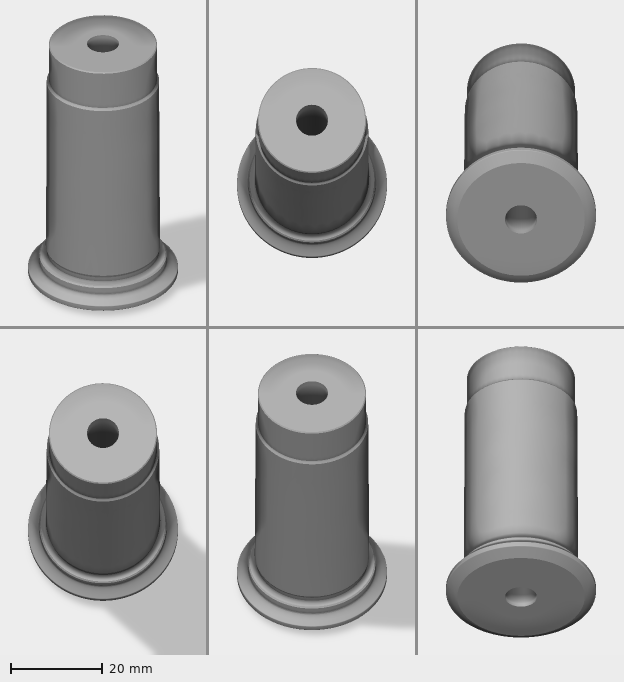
import cadquery as cq
import math

total_height = 60.5
rim_top = 2.6
collar_top = 6.05
groove_top = 7.5
body_bottom = 8.05
body_top = 50.8
neck_bottom = 51.35

bore_diameter = 7.0
neck_diameter = 23.8
body_top_diameter = 24.75
body_bottom_diameter = 25.15
groove_diameter = 24.7
collar_diameter = 28.0
rim_diameter = 33.0
base_diameter = collar_diameter

neck_chamfer = 0.25
collar_chamfer = 0.3
groove_arc_radius = 0.9
groove_top_fillet = 0.3
collar_foot_fillet = 0.3
rim_fillet = 0.25

flank_slope = math.tan(math.radians(30))
rim_bottom = (rim_diameter - base_diameter) / 2 * flank_slope
collar_bottom = rim_top + (rim_diameter - collar_diameter) / 2 * flank_slope

groove_arc_angle = math.radians(60)


def groove_arc_point(angle):
    """Point on the groove floor arc, turned by angle from where it leaves the collar top."""
    arc_start = groove_diameter / 2 + groove_arc_radius * math.sin(groove_arc_angle)
    return (
        arc_start - groove_arc_radius * math.sin(angle),
        collar_top + groove_arc_radius * (1 - math.cos(angle)),
    )


def half_outline():
    """Closed outline of the solid turned part, from the axis outwards."""
    groove_radius = groove_diameter / 2
    collar_radius = collar_diameter / 2
    return (
        cq.Workplane("XZ")
        .lineTo(base_diameter / 2, 0)
        .lineTo(rim_diameter / 2, rim_bottom)
        .lineTo(rim_diameter / 2, rim_top)
        .lineTo(collar_radius, collar_bottom)
        .lineTo(collar_radius, collar_top - collar_chamfer)
        .lineTo(collar_radius - collar_chamfer, collar_top)
        .lineTo(*groove_arc_point(0))
        .threePointArc(groove_arc_point(groove_arc_angle / 2), groove_arc_point(groove_arc_angle))
        .lineTo(groove_radius, groove_top)
        .lineTo(body_bottom_diameter / 2, body_bottom)
        .lineTo(body_top_diameter / 2, body_top)
        .lineTo(neck_diameter / 2, neck_bottom)
        .lineTo(neck_diameter / 2, total_height - neck_chamfer)
        .lineTo(neck_diameter / 2 - neck_chamfer, total_height)
        .lineTo(0, total_height)
        .close()
    )


def edge_at(level):
    """Selector for the circular edge at the given height."""
    half_box = rim_diameter
    gap = 0.03
    return cq.selectors.BoxSelector(
        (-half_box, -half_box, level - gap), (half_box, half_box, level + gap), boundingbox=True
    )


body = half_outline().revolve(360, (0, 0), (0, 1))
for level, radius in (
    (rim_bottom, rim_fillet),
    (rim_top, rim_fillet),
    (collar_bottom, collar_foot_fillet),
    (groove_top, groove_top_fillet),
):
    body = body.edges(edge_at(level)).fillet(radius)

bore = cq.Workplane("XY").circle(bore_diameter / 2).extrude(total_height)
result = body.cut(bore)